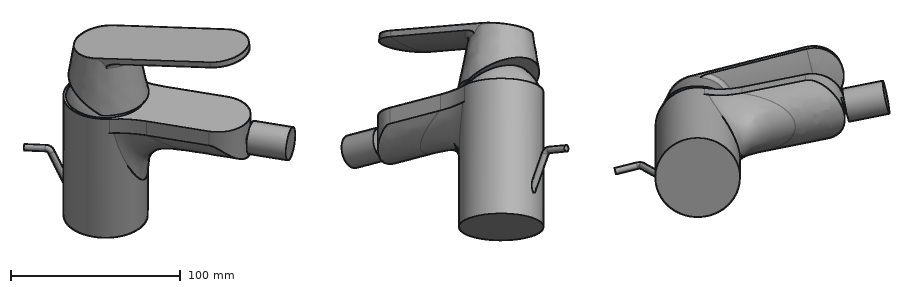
import cadquery as cq
import math


body_radius = 25.0
body_height = 84.0
spout_half_width = 19.3
spout_reach = 88.3
spout_side_height = 10.0
spout_belly_depth = 15.5
belly_fullness = 0.65
spout_blend_radius = 60.0
spout_side_z = body_height - spout_side_height
spout_bottom_z = spout_side_z - spout_belly_depth
spout_end_x = spout_reach - spout_half_width

throat_low_side_x = 9.0
throat_inset = 0.2
throat_low_z = 31.0
throat_high_side_x = 31.4
throat_high_bottom_x = 58.5
throat_fullness = 0.8
throat_section_count = 5

dome_radius = 24.5
dome_center_z = 77.0

aerator_diameter = 20.0
aerator_length = 24.1
aerator_z = 71.2
aerator_neck_diameter = 9.5
aerator_gap = 1.2

rod_diameter = 4.0
rod_end = (-49.69, 38.3)
rod_corner = (-34.5, 40.4)
rod_root = (-20.0, 10.0)
rod_bend_radius = 3.0

cap_base_z = 86.4
cap_base_x = 0.8
cap_base_radius = 24.8
cap_top_z = 126.0
cap_top_x = -0.2
cap_top_radius = 17.6
cap_back_x = -22.0
cap_back_z = 99.8
cap_heel_x = 4.7
cap_front_x = 25.7
cap_front_z = 87.0

blade_tilt = 8.3
blade_half_width = 18.4
blade_length = 70.4
blade_thickness = 3.8
blade_belly_depth = 1.8
blade_x = -0.6
blade_z = 122.15
blade_neck_fillet = 3.0

blend_center_y = spout_half_width + spout_blend_radius
blend_center_distance = body_radius + spout_blend_radius
blend_center_x = math.sqrt(blend_center_distance**2 - blend_center_y**2)
blend_touch_x = blend_center_x * body_radius / blend_center_distance


def spout_half_width_at(x):
    """Half width of the spout between its tangent point on the column and its tip rounding."""
    if x >= blend_center_x:
        return spout_half_width
    return blend_center_y - math.sqrt(spout_blend_radius**2 - (blend_center_x - x) ** 2)


def make_spout_slab():
    """Flat upper part of the spout, with concave sides running tangent into the column."""
    touch_y = spout_half_width_at(blend_touch_x)
    middle_x = (blend_touch_x + blend_center_x) / 2
    middle_y = spout_half_width_at(middle_x)
    return (
        cq.Workplane("XY", origin=(0, 0, spout_side_z))
        .moveTo(0, -touch_y)
        .lineTo(blend_touch_x, -touch_y)
        .threePointArc((middle_x, -middle_y), (blend_center_x, -spout_half_width))
        .lineTo(spout_end_x, -spout_half_width)
        .threePointArc((spout_reach, 0), (spout_end_x, spout_half_width))
        .lineTo(blend_center_x, spout_half_width)
        .threePointArc((middle_x, middle_y), (blend_touch_x, touch_y))
        .lineTo(0, touch_y)
        .close()
        .extrude(spout_side_height)
    )


def belly_section(side_x, bottom_x, bottom_z, half_width):
    """Rounded section across the spout, from the side edges down to its lowest point."""
    down_x = side_x - bottom_x
    down_z = spout_side_z - bottom_z
    plane = cq.Plane(origin=(side_x, 0, spout_side_z), xDir=(0, 1, 0), normal=(down_z, 0, -down_x))
    handle_y = belly_fullness * half_width
    handle_depth = math.hypot(down_x, down_z) / 0.75
    return (
        cq.Workplane(plane)
        .moveTo(-half_width, 0)
        .bezier(
            [(-half_width, 0), (-handle_y, -handle_depth), (handle_y, -handle_depth), (half_width, 0)]
        )
        .close()
    )


def blend(start, end, t):
    return start + (end - start) * t


def bezier(p0, p1, p2, p3, t):
    s = 1 - t
    return s**3 * p0 + 3 * s**2 * t * p1 + 3 * s * t**2 * p2 + t**3 * p3


def make_throat():
    """Loft through rounded sections that swing from the column face to the spout underside."""
    rise = spout_bottom_z - throat_low_z
    run = throat_high_bottom_x - body_radius
    handle_x = throat_high_bottom_x - throat_fullness * run
    handle_z = throat_low_z + throat_fullness * rise
    sections = []
    for i in range(throat_section_count):
        t = i / (throat_section_count - 1)
        bottom_x = bezier(body_radius, body_radius, handle_x, throat_high_bottom_x, t)
        bottom_z = bezier(throat_low_z, handle_z, spout_bottom_z, spout_bottom_z, t)
        side_x = blend(throat_low_side_x, throat_high_side_x, t)
        half_width = spout_half_width_at(side_x) - throat_inset * (1 - t)
        sections.append(belly_section(side_x, bottom_x, bottom_z, half_width).val())
    return cq.Workplane(cq.Solid.makeLoft(sections))


def make_spout_belly():
    """Straight rounded underside of the spout, starting on the last throat section."""
    belly = belly_section(throat_high_side_x, throat_high_side_x, spout_bottom_z, spout_half_width)
    belly = belly.extrude(spout_reach - throat_high_side_x)
    ahead_of_throat = (
        cq.Workplane("XZ")
        .moveTo(throat_high_side_x, spout_side_z)
        .lineTo(throat_high_bottom_x, spout_bottom_z)
        .lineTo(spout_reach, spout_bottom_z)
        .lineTo(spout_reach, spout_side_z)
        .close()
        .extrude(body_radius, both=True)
    )
    round_end = (
        cq.Workplane("XY", origin=(0, 0, spout_bottom_z))
        .moveTo(0, -spout_half_width)
        .lineTo(spout_end_x, -spout_half_width)
        .threePointArc((spout_reach, 0), (spout_end_x, spout_half_width))
        .lineTo(0, spout_half_width)
        .close()
        .extrude(spout_belly_depth)
    )
    return belly.intersect(ahead_of_throat).intersect(round_end)


def make_dome():
    return cq.Workplane("XY", origin=(0, 0, dome_center_z)).sphere(dome_radius)


def make_aerator():
    barrel_x = spout_reach + aerator_gap
    neck = (
        cq.Workplane("YZ", origin=(spout_end_x, 0, aerator_z))
        .circle(aerator_neck_diameter / 2)
        .extrude(barrel_x - spout_end_x)
    )
    barrel = (
        cq.Workplane("YZ", origin=(barrel_x, 0, aerator_z))
        .circle(aerator_diameter / 2)
        .extrude(aerator_length)
    )
    return neck.union(barrel)


def make_rod():
    """Round rod with one bend, rooted inside the column."""
    end, corner, root = cq.Vector(*rod_end), cq.Vector(*rod_corner), cq.Vector(*rod_root)
    to_end = (end - corner).normalized()
    to_root = (root - corner).normalized()
    half_angle = to_end.getAngle(to_root) / 2
    tangent_length = rod_bend_radius / math.tan(half_angle)
    bend_start = corner + to_end * tangent_length
    bend_end = corner + to_root * tangent_length
    bisector = (to_end + to_root).normalized()
    bend_middle = corner + bisector * (rod_bend_radius / math.sin(half_angle) - rod_bend_radius)
    path = (
        cq.Workplane("XZ")
        .moveTo(end.x, end.y)
        .lineTo(bend_start.x, bend_start.y)
        .threePointArc((bend_middle.x, bend_middle.y), (bend_end.x, bend_end.y))
        .lineTo(root.x, root.y)
    )
    end_plane = cq.Plane(origin=(end.x, 0, end.y), xDir=(0, 1, 0), normal=(-to_end.x, 0, -to_end.y))
    return cq.Workplane(end_plane).circle(rod_diameter / 2).sweep(path)


def make_body():
    column = cq.Workplane("XY").circle(body_radius).extrude(body_height)
    return (
        column.union(make_spout_slab())
        .union(make_throat())
        .union(make_spout_belly())
        .union(make_dome())
        .union(make_aerator())
        .union(make_rod())
    )


def make_cap():
    """Oblique cone, cut off along the blade top and along the sloping lower rim."""
    cone = (
        cq.Workplane("XY", origin=(cap_base_x, 0, cap_base_z))
        .circle(cap_base_radius)
        .workplane(offset=cap_top_z - cap_base_z)
        .center(cap_top_x - cap_base_x, 0)
        .circle(cap_top_radius)
        .loft()
    )
    slope = math.tan(math.radians(blade_tilt))
    back_top_z = blade_z + slope * (cap_back_x - blade_x)
    front_top_z = blade_z + slope * (cap_front_x - blade_x)
    side_shape = (
        cq.Workplane("XZ")
        .moveTo(cap_back_x, cap_back_z)
        .lineTo(cap_heel_x, cap_base_z)
        .lineTo(cap_front_x, cap_front_z)
        .lineTo(cap_front_x, front_top_z)
        .lineTo(cap_back_x, back_top_z)
        .close()
        .extrude(cap_base_radius, both=True)
    )
    return cone.intersect(side_shape)


def make_blade():
    """Obround plate with a shallow rounded belly that fades out at the tip."""
    tilt = math.radians(blade_tilt)
    plane = cq.Plane(
        origin=(blade_x, 0, blade_z),
        xDir=(math.cos(tilt), 0, math.sin(tilt)),
        normal=(-math.sin(tilt), 0, math.cos(tilt)),
    )
    plate = (
        cq.Workplane(plane)
        .center(blade_length / 2, 0)
        .slot2D(blade_length + 2 * blade_half_width, 2 * blade_half_width)
        .extrude(-blade_thickness)
    )
    belly_radius = (blade_half_width**2 + blade_belly_depth**2) / (2 * blade_belly_depth)
    belly_bottom = -blade_thickness - blade_belly_depth
    belly = (
        cq.Workplane(plane)
        .transformed(rotate=(90, 90, 0))
        .moveTo(-blade_half_width, -blade_thickness)
        .threePointArc((0, belly_bottom), (blade_half_width, -blade_thickness))
        .close()
        .extrude(blade_length)
    )
    belly_tip = (
        cq.Workplane(plane)
        .transformed(offset=(blade_length, 0, 0), rotate=(90, 0, 0))
        .moveTo(0, -blade_thickness)
        .lineTo(0, belly_bottom)
        .radiusArc((blade_half_width, -blade_thickness), -belly_radius)
        .close()
        .revolve(360, (0, 0), (0, 1))
    )
    return plate.union(belly).union(belly_tip)


def make_handle():
    handle = make_cap().union(make_blade())
    neck_edges = cq.selectors.BoxSelector(
        (cap_heel_x, -cap_base_radius, cap_back_z),
        (cap_front_x, cap_base_radius, blade_z + blade_thickness),
    )
    handle = handle.edges(neck_edges).fillet(blade_neck_fillet)
    return handle.cut(make_dome())


body = make_body()
handle = make_handle()

result = cq.Compound.makeCompound([body.val(), handle.val()])